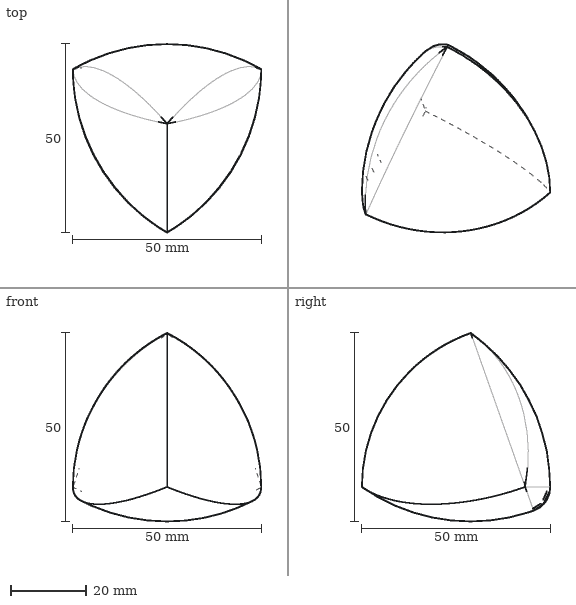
import cadquery as cq
import math

width = 50.0

base_radius = width / math.sqrt(3)
tetrahedron_height = width * math.sqrt(2 / 3)
dihedral_angle = math.degrees(math.acos(1 / 3))

front = cq.Vector(0, -base_radius, 0)
back_left = cq.Vector(-width / 2, base_radius / 2, 0)
back_right = cq.Vector(width / 2, base_radius / 2, 0)
apex = cq.Vector(0, 0, tetrahedron_height)


def ball(center):
    return cq.Workplane("XY").sphere(width).translate(center)


def swept_across_edge(profile):
    """Turn a profile about the back edge, from the base plane up to the back face plane."""
    return profile.close().revolve(dihedral_angle, (0, 0, 0), (-1, 0, 0))


def edge_wedge(edge_workplane):
    """Everything that lies outside both faces meeting at the edge."""
    depth = width / 2
    corners = [(0, 0), (width, 0), (width, depth), (0, depth)]
    return swept_across_edge(edge_workplane.polyline(corners))


def edge_spindle(edge_workplane):
    """Rounded edge: the arc centred on the opposite vertex, turned about the edge."""
    arc_rise = width * (1 - math.sqrt(3) / 2)
    return swept_across_edge(edge_workplane.threePointArc((width / 2, arc_rise), (width, 0)))


body = ball(front)
for vertex in (back_left, back_right, apex):
    body = body.intersect(ball(vertex))

base_plane = cq.Workplane("XY", origin=back_left.toTuple())
wedge = edge_wedge(base_plane)
spindle = edge_spindle(base_plane)
back_face_center = (back_left + back_right + apex) / 3

for turn in (0, 120, 240):
    body = body.cut(wedge.rotate(front, back_face_center, turn))
    body = body.union(spindle.rotate(front, back_face_center, turn))

result = body